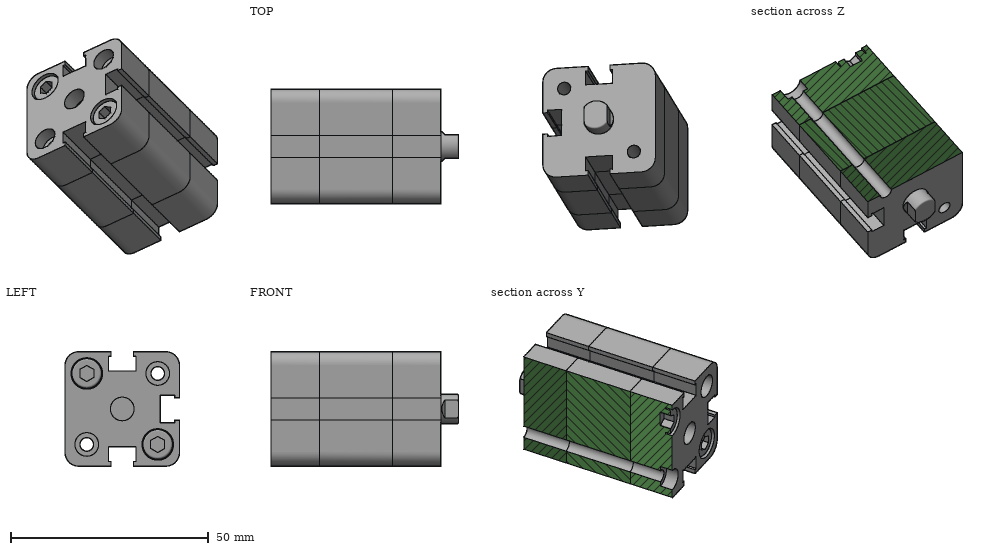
import cadquery as cq

total_length = 47.5
side = 29.0
rod_length = 4.5
body_length = total_length - rod_length
cap_length = 12.25
barrel_length = body_length - 2 * cap_length

corner_radius = 3.5
slot_opening = 5.65
slot_inner_width = 6.95
slot_lip = 1.25
slot_depth = 4.9
slot_angles = (-90, 0, 90)

corner_offset = 9.0
screw_places = [(corner_offset, corner_offset), (-corner_offset, -corner_offset)]
bolt_places = [(corner_offset, -corner_offset), (-corner_offset, corner_offset)]
bolt_diameter = 3.35
recess_diameter = 6.0
bolt_recess_depth = 3.4
centre_recess_depth = 4.28

pocket_diameter = 8.0
head_diameter = 7.5
head_edge_radius = 0.5
head_setback = 0.48
pocket_depth = 2.0
hex_across_corners = 4.1
hex_depth = 3.0

rod_diameter = 7.5
flat_distance = 6.0
collar_length = 0.3
tip_radius = 0.4


def cross_section(x):
    """Workplane across the cylinder axis at x, with local x along Y and local y along Z."""
    return cq.Workplane("YZ", origin=(x, 0, 0))


def t_slot(x, length):
    """Cutter for the T-slot in the -Y side."""
    undercut_depth = slot_depth - slot_lip
    mouth = cross_section(x).center(-side / 2 + slot_depth / 2, 0).rect(slot_depth, slot_opening)
    inner = cross_section(x).center(-side / 2 + slot_lip + undercut_depth / 2, 0)
    return mouth.extrude(length).union(inner.rect(undercut_depth, slot_inner_width).extrude(length))


def profile_section(x, length):
    """Length of the slotted profile with its two through bolt holes."""
    section = cross_section(x).rect(side, side).extrude(length).edges("|X").fillet(corner_radius)
    for angle in slot_angles:
        section = section.cut(t_slot(x, length).rotate((0, 0, 0), (1, 0, 0), angle))
    bolts = cross_section(x).pushPoints(bolt_places).circle(bolt_diameter / 2).extrude(length)
    return section.cut(bolts)


def screw_heads():
    """Screw heads with a rounded front edge, still without their sockets."""
    blanks = cross_section(head_setback).pushPoints(screw_places).circle(head_diameter / 2)
    head_length = pocket_depth - head_setback
    return blanks.extrude(head_length).faces("<X").edges().fillet(head_edge_radius)


def round_cutters(places, diameter, depth):
    """Round cutters sunk into the rear face."""
    return cross_section(0).pushPoints(places).circle(diameter / 2).extrude(depth)


def make_rear_cap():
    """Rear cap with centring recess, bolt head recesses and screw heads with hexagon sockets."""
    cap = profile_section(0, cap_length)
    cap = cap.cut(round_cutters([(0, 0)], recess_diameter, centre_recess_depth))
    cap = cap.cut(round_cutters(bolt_places, recess_diameter, bolt_recess_depth))
    cap = cap.cut(round_cutters(screw_places, pocket_diameter, pocket_depth))
    cap = cap.union(screw_heads())
    hexagon = cq.Sketch().regularPolygon(hex_across_corners / 2, 6)
    sockets = cross_section(head_setback).pushPoints(screw_places).placeSketch(hexagon).extrude(hex_depth)
    return cap.cut(sockets)


def flat_cutter(direction):
    """Cutter for the wrench flat on the +Y or -Y side, with a 45 degree run-out at the collar."""
    rod_radius = rod_diameter / 2
    flat_y = flat_distance / 2
    start_x = body_length + collar_length
    outline = [
        (start_x, direction * rod_radius),
        (start_x + rod_radius - flat_y, direction * flat_y),
        (total_length, direction * flat_y),
        (total_length, direction * rod_radius),
    ]
    return cq.Workplane("XY").polyline(outline).close().extrude(rod_radius, both=True)


def make_rod():
    """Rod end standing on the front cap, rounded at the tip and flattened on both Y sides."""
    rod = cross_section(body_length).circle(rod_diameter / 2).extrude(rod_length)
    rod = rod.faces(">X").edges().fillet(tip_radius)
    for direction in (-1, 1):
        rod = rod.cut(flat_cutter(direction))
    return rod


rear_cap = make_rear_cap()
barrel = profile_section(cap_length, barrel_length)
front_cap = profile_section(cap_length + barrel_length, cap_length)
rod = make_rod()
result = cq.Compound.makeCompound([rear_cap.val(), barrel.val(), front_cap.val(), rod.val()])